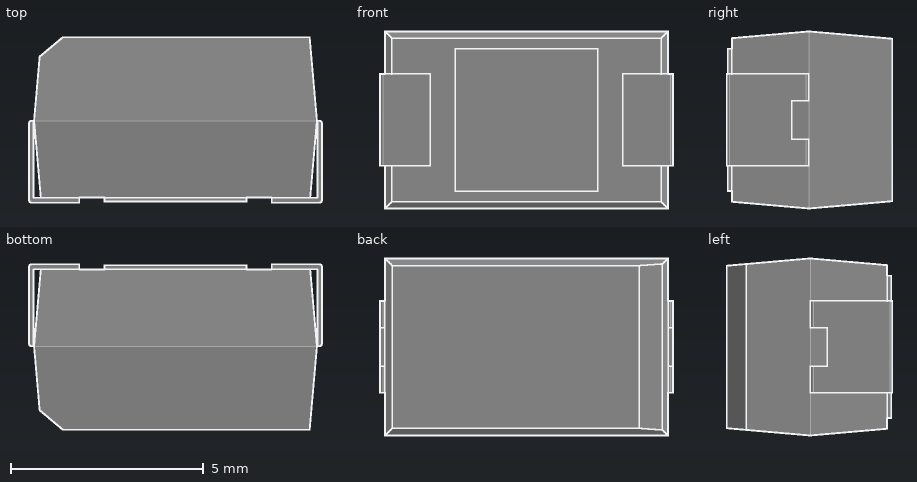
import cadquery as cq
import math

overall_length = 7.6
case_length = 7.34
case_height = 4.6
case_back_depth = 2.165
case_front_depth = 2.0
draft_angle = 5.0

corner_cut_length = 0.56
corner_cut_depth = 0.51

terminal_side_thickness = 0.12
terminal_foot_thickness = 0.14
terminal_height = 2.39
terminal_foot_length = 1.31
terminal_edge_radius = 0.075
notch_height = 0.995
notch_depth = 0.44

pad_side = 3.69
pad_thickness = 0.11

back_face_half_length = case_length / 2 - case_back_depth * math.tan(math.radians(draft_angle))


def make_case():
    """Two drafted halves that meet at the parting plane, with one back edge cut off."""
    front_half = cq.Workplane("XZ").rect(case_length, case_height).extrude(case_front_depth, taper=draft_angle)
    back_half = cq.Workplane("XZ").rect(case_length, case_height).extrude(-case_back_depth, taper=draft_angle)

    cut_edge_y = case_back_depth - corner_cut_depth
    cut_edge_x = -case_length / 2 + cut_edge_y * math.tan(math.radians(draft_angle))
    cutter = (
        cq.Workplane("XY", origin=(0, 0, -case_height / 2))
        .moveTo(-back_face_half_length + corner_cut_length, case_back_depth)
        .lineTo(cut_edge_x, cut_edge_y)
        .lineTo(-case_length / 2, cut_edge_y)
        .lineTo(-case_length / 2, case_back_depth)
        .close()
        .extrude(case_height)
    )
    return front_half.union(back_half).cut(cutter)


def make_terminal(side):
    """L-shaped terminal at one case end; side is -1 for the -X end and +1 for the +X end."""
    outer_x = side * overall_length / 2
    inner_x = side * (overall_length / 2 - terminal_side_thickness)
    foot_end_x = side * (overall_length / 2 - terminal_foot_length)
    face_y = -case_front_depth
    foot_y = face_y - terminal_foot_thickness
    strip = (
        cq.Workplane("XY", origin=(0, 0, -terminal_height / 2))
        .polyline([
            (outer_x, 0),
            (inner_x, 0),
            (inner_x, face_y),
            (foot_end_x, face_y),
            (foot_end_x, foot_y),
            (outer_x, foot_y),
        ])
        .close()
        .extrude(terminal_height)
    )
    outer_face = ">X" if side > 0 else "<X"
    strip = strip.faces(outer_face).edges("|Z").fillet(terminal_edge_radius)

    notch = cq.Workplane("XY").box(2 * terminal_side_thickness, 2 * notch_depth, notch_height)
    notch = notch.translate(((outer_x + inner_x) / 2, 0, 0))
    return strip.cut(notch)


def make_pad():
    """Flat square pad that lies on the front face of the case."""
    return cq.Workplane("XZ", origin=(0, -case_front_depth, 0)).rect(pad_side, pad_side).extrude(pad_thickness)


case = make_case()
terminals = [make_terminal(side) for side in (-1, 1)]
pad = make_pad()

result = cq.Compound.makeCompound([
    case.solids().val(),
    *[terminal.solids().val() for terminal in terminals],
    pad.val(),
])